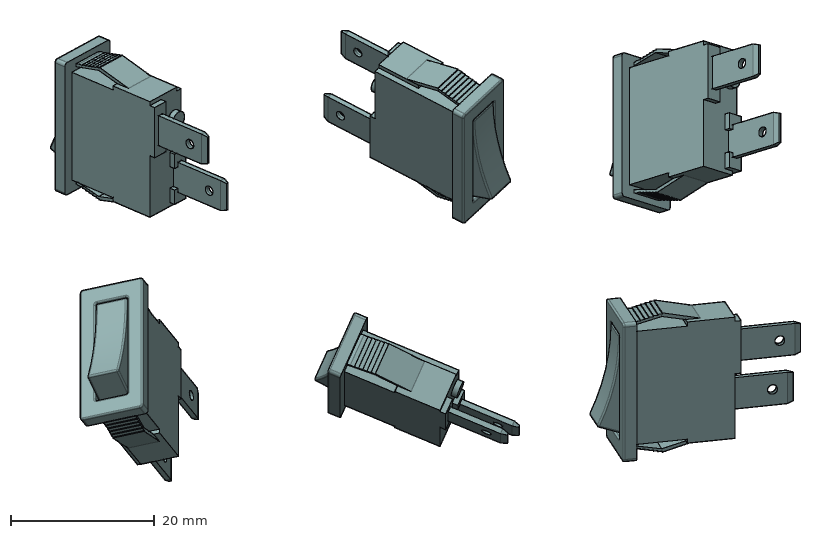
import cadquery as cq
import math


pick_margin = 0.01

bezel_thickness = 1.94
bezel_width = 9.5
bezel_height = 21.0
bezel_corner_radius = 0.5
edge_radius = 0.25

opening_width = 4.85
opening_height = 15.7
opening_corner_radius = 0.3
opening_floor_x = 0.4

rocker_gap = 0.09
rocker_width = opening_width - 2 * rocker_gap
rocker_top_z = opening_height / 2 - rocker_gap
rocker_top_x = -1.91
rocker_mid = (-3.33, -1.39)
rocker_tip = (-5.06, -5.75)
rocker_edge_radius = 0.25
rocker_end_angle = 21.0

body_width = 6.56
body_half_height = 8.55
body_length = 14.5
raised_start_x = 7.63
raised_half_height = 9.17
raised_side_y = 2.4

clip_width = 4.75
clip_end_x = 9.72
clip_outer_apex = (4.29, 10.54)
clip_inner_apex = (4.2, 10.0)
clip_inner_bezel_z = 9.06
clip_outer_bezel_z = 9.54
tooth_count = 6
tooth_pitch = 0.63

boss_length = 0.87
boss_depth = 2.36
boss_inner_z = 0.58
boss_slot_height = 3.4
stub_radius = 1.23
stub_y = 1.79

terminal_thickness = 0.8
terminal_width = 4.75
terminal_end_x = 24.21
terminal_y = 2.02
terminal_z = 4.53
terminal_taper_length = 0.92
terminal_tip_thickness = 0.3
terminal_tip_width = 4.23
terminal_hole_diameter = 1.4
terminal_hole_x = 21.15


def box(x_range, y_range, z_range):
    """Box spanning the given (low, high) range along each axis."""
    size = [high - low for low, high in (x_range, y_range, z_range)]
    corner = (x_range[0], y_range[0], z_range[0])
    return cq.Workplane("XY").box(*size, centered=False).translate(corner)


def make_bezel():
    """Rectangular frame plate with rounded corners and a rounded front edge."""
    bezel = cq.Workplane("YZ").rect(bezel_width, bezel_height).extrude(-bezel_thickness)
    bezel = bezel.edges("|X").fillet(bezel_corner_radius)
    return bezel.faces("<X").edges().fillet(edge_radius)


def make_body():
    """Plain body block with a taller rear part."""
    half_width = body_width / 2
    body = box((0, body_length), (-half_width, half_width), (-body_half_height, body_half_height))
    raised = box(
        (raised_start_x, body_length),
        (-half_width, raised_side_y),
        (-raised_half_height, raised_half_height),
    )
    return body.union(raised)


def make_clip():
    """Upper clip: a bent leaf with a stepped grip surface on its front leg."""
    apex_x, apex_z = clip_outer_apex
    slope = (apex_z - clip_outer_bezel_z) / apex_x
    points = [(0, clip_inner_bezel_z), (0, clip_outer_bezel_z)]
    for teeth_left in range(tooth_count, 0, -1):
        tread_start_x = apex_x - teeth_left * tooth_pitch
        tread_z = clip_outer_bezel_z + slope * tread_start_x
        points += [(tread_start_x, tread_z), (tread_start_x + tooth_pitch, tread_z)]
    points += [
        clip_outer_apex,
        (clip_end_x, raised_half_height),
        (raised_start_x, raised_half_height),
        clip_inner_apex,
    ]
    profile = cq.Workplane("XZ").polyline(points).close()
    return profile.extrude(clip_width / 2, both=True)


def cut_opening(housing):
    """Pocket around the rocker, rounded at its front edge."""
    pocket = (
        cq.Workplane("YZ", origin=(-bezel_thickness, 0, 0))
        .rect(opening_width, opening_height)
        .extrude(bezel_thickness + opening_floor_x)
        .edges("|X")
        .fillet(opening_corner_radius)
    )
    reach_y = opening_width / 2 + pick_margin
    reach_z = opening_height / 2 + pick_margin
    front_rim = cq.selectors.BoxSelector(
        (-bezel_thickness - pick_margin, -reach_y, -reach_z),
        (-bezel_thickness + pick_margin, reach_y, reach_z),
        boundingbox=True,
    )
    return housing.cut(pocket).edges(front_rim).fillet(edge_radius)


def make_rocker():
    """Rocker with a concave front, standing on the floor of the opening."""
    end_drop = (opening_floor_x - rocker_tip[0]) * math.tan(math.radians(rocker_end_angle))
    rocker = (
        cq.Workplane("XZ")
        .moveTo(opening_floor_x, rocker_top_z)
        .lineTo(rocker_top_x, rocker_top_z)
        .threePointArc(rocker_mid, rocker_tip)
        .lineTo(opening_floor_x, rocker_tip[1] - end_drop)
        .close()
        .extrude(rocker_width / 2, both=True)
    )
    hidden_edges = cq.selectors.BoxSelector(
        (opening_floor_x - pick_margin, -bezel_width, -bezel_height),
        (opening_floor_x + pick_margin, bezel_width, bezel_height),
    )
    return rocker.edges(cq.selectors.InverseSelector(hidden_edges)).fillet(rocker_edge_radius)


def add_rear_bosses(housing):
    """One boss around each terminal and a round stub beside the upper one."""
    half_width = body_width / 2
    x_range = (body_length, body_length + boss_length)
    upper = box(x_range, (-half_width, boss_depth - half_width), (boss_inner_z, body_half_height))
    lower = box(x_range, (half_width - boss_depth, half_width), (-body_half_height, -boss_inner_z))
    slot_z = -(boss_inner_z + body_half_height) / 2
    slot = box(
        x_range,
        (0, terminal_y),
        (slot_z - boss_slot_height / 2, slot_z + boss_slot_height / 2),
    )
    stub = (
        cq.Workplane("YZ", origin=(body_length, stub_y, terminal_z))
        .circle(stub_radius)
        .extrude(boss_length)
    )
    return housing.union(upper).union(lower.cut(slot)).union(stub)


def make_terminal(y, z):
    """Blade standing on the rear face of the body, through its boss, with a tapered tip and a hole."""
    shank_end_x = terminal_end_x - terminal_taper_length
    blade = (
        cq.Workplane("YZ", origin=(body_length, y, z))
        .rect(terminal_thickness, terminal_width)
        .extrude(shank_end_x - body_length)
    )
    tip = (
        cq.Workplane("YZ", origin=(shank_end_x, y, z))
        .rect(terminal_thickness, terminal_width)
        .workplane(offset=terminal_taper_length)
        .rect(terminal_tip_thickness, terminal_tip_width)
        .loft(ruled=True)
    )
    hole = (
        cq.Workplane("XZ", origin=(terminal_hole_x, y, z))
        .circle(terminal_hole_diameter / 2)
        .extrude(terminal_thickness, both=True)
    )
    return blade.union(tip).cut(hole)


terminals = [make_terminal(-side * terminal_y, side * terminal_z) for side in (1, -1)]

clip = make_clip()
housing = make_bezel().union(make_body())
housing = cut_opening(housing).union(make_rocker())
housing = housing.union(clip).union(clip.mirror("XY"))
housing = add_rear_bosses(housing)
for terminal in terminals:
    housing = housing.cut(terminal)

result = cq.Compound.makeCompound([housing.val()] + [terminal.val() for terminal in terminals])